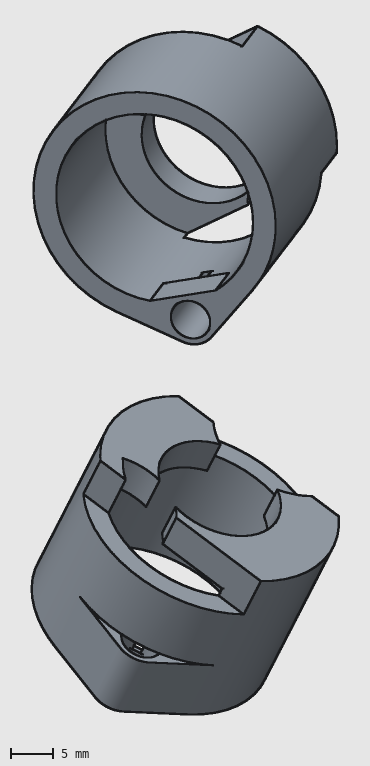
import cadquery as cq
import math

overall_height = 31.75
length = 22.55
outer_radius = 14.85
bore_radius = 12.07

flange_thickness = 4.45
flange_opening_radius = 7.62

flat_depth = 5.62
flat_distance = 8.9
flat_angle = 123.1

bite_center_distance = 14.1
bites = [(8.95, 125.5), (7.1, -27.6)]

lug_length = 8.32
lug_radius = 3.18
lug_bottom = overall_height - outer_radius
lug_x = 4.4
lug_z = lug_radius - lug_bottom
pin_hole_radius = 2.4

lug_flat_distance = 11.3
lug_flat_length = 4.92

lug_distance = math.hypot(lug_x, lug_z)
lug_angle = math.degrees(math.atan2(lug_z, lug_x))


def polar(radius, angle):
    """X, Z position at a given radius and direction from the sleeve axis."""
    return (radius * math.cos(math.radians(angle)), radius * math.sin(math.radians(angle)))


def disc(radius, start, depth, center=(0, 0)):
    """Cylinder along +Y from Y = start."""
    plane = cq.Workplane("XZ", origin=(0, start, 0))
    return plane.center(*center).circle(radius).extrude(-depth)


def outward_block(distance, angle, start, depth):
    """Block filling everything beyond a flat at the given distance and direction."""
    size = 2 * outer_radius
    block = cq.Workplane("XY").box(size, depth, 2 * size, centered=(False, False, True))
    return block.translate((distance, start, 0)).rotate((0, 0, 0), (0, 1, 0), -angle)


def make_lug():
    """Rounded lug whose sides run tangent to the sleeve, with a flat inside the bore."""
    half_angle = math.degrees(math.acos((outer_radius - lug_radius) / lug_distance))
    tangent_angles = (lug_angle - half_angle, lug_angle + half_angle)

    def lug_point(angle):
        x, z = polar(lug_radius, angle)
        return (lug_x + x, lug_z + z)

    lug = (
        cq.Workplane("XZ")
        .moveTo(0, 0)
        .lineTo(*polar(outer_radius, tangent_angles[0]))
        .lineTo(*lug_point(tangent_angles[0]))
        .threePointArc(lug_point(lug_angle), lug_point(tangent_angles[1]))
        .lineTo(*polar(outer_radius, tangent_angles[1]))
        .close()
        .extrude(-lug_length)
    )
    bore_fill = outward_block(lug_flat_distance, lug_angle, 0, lug_flat_length)
    return lug.cut(disc(bore_radius, 0, lug_length).cut(bore_fill))


def make_sleeve():
    """Sleeve with a stepped bore that leaves the rear flange."""
    sleeve = disc(outer_radius, 0, length)
    sleeve = sleeve.cut(disc(bore_radius, 0, length - flange_thickness))
    return sleeve.cut(disc(flange_opening_radius, 0, length))


result = make_sleeve().union(make_lug())
result = result.cut(disc(pin_hole_radius, 0, lug_length, (lug_x, lug_z)))

for angle in (flat_angle, flat_angle + 180):
    result = result.cut(outward_block(flat_distance, angle, length - flat_depth, flat_depth))

for radius, angle in bites:
    bite = disc(radius, length - flange_thickness, flange_thickness, polar(bite_center_distance, angle))
    result = result.cut(bite.intersect(disc(bore_radius, 0, length)))